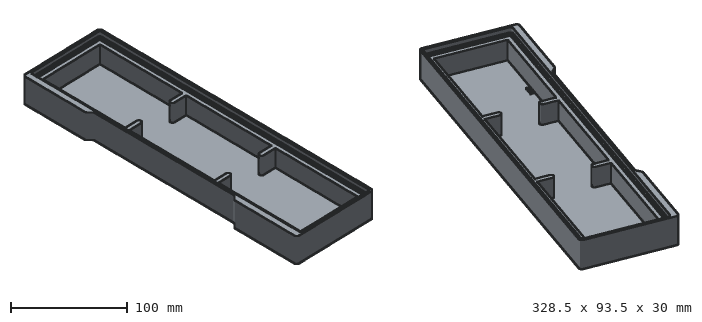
import cadquery as cq

length = 328.5
width = 93.5
height = 30.0
corner_radius = 2.5

recess_depth = 5.0
foot_length = 75.0
foot_edge_radius = 2.5
recess_edge_radius = 1.5

rim_thickness = 2.15
ledge_inset = 4.5
cavity_inset = 9.5
rim_corner_radius = 2.0
groove_depth = 5.3
step_height = 1.5
ledge_depth = groove_depth + step_height
floor_thickness = 2.0

rib_thickness = 5.0
rib_length = 16.8
rib_spacing = 107.0
rib_tip_radius = 2.3
rib_root_overlap = 1.5

slot_length = 10.0
slot_width = 3.0
slot_x = 104.0
slot_wall_gap = 1.0

half_length = length / 2
front_y = -width / 2
back_y = width / 2
recess_y = front_y + recess_depth
inner_center_y = (recess_y + back_y) / 2
inner_width = back_y - recess_y
cavity_width = inner_width - 2 * cavity_inset
cavity_height = height - ledge_depth - floor_thickness


def inset_rectangle(inset, z):
    """Rectangle set in from the ends, the back and the recessed front."""
    return (
        cq.Workplane("XY", origin=(0, inner_center_y, z))
        .rect(length - 2 * inset, inner_width - 2 * inset)
    )


def corner_pair(x, y):
    """Selector for the two upright edges at (-x, y) and (x, y)."""
    middle_z = height / 2
    left = cq.selectors.NearestToPointSelector((-x, y, middle_z))
    right = cq.selectors.NearestToPointSelector((x, y, middle_z))
    return left + right


def make_body():
    """Block whose front recess has 45 degree blended ends."""
    foot_end = half_length - foot_length
    recess_end = foot_end - recess_depth
    body = (
        cq.Workplane("XY")
        .polyline([
            (-half_length, front_y),
            (-foot_end, front_y),
            (-recess_end, recess_y),
            (recess_end, recess_y),
            (foot_end, front_y),
            (half_length, front_y),
            (half_length, back_y),
            (-half_length, back_y),
        ])
        .close()
        .extrude(height)
    )
    body = body.edges(corner_pair(foot_end, front_y)).fillet(foot_edge_radius)
    body = body.edges(corner_pair(recess_end, recess_y)).fillet(recess_edge_radius)
    return body.edges("|Z and (<X or >X)").fillet(corner_radius)


def make_rim_pocket():
    """Vertical lid pocket with a narrower step below it."""
    pocket = (
        inset_rectangle(rim_thickness, height - groove_depth)
        .extrude(groove_depth)
        .edges("|Z")
        .fillet(rim_corner_radius)
    )
    step = inset_rectangle(ledge_inset, height - ledge_depth).extrude(ledge_depth)
    return pocket.union(step)


def make_rib(x, side):
    """Rib reaching inward from the back (side = 1) or front (side = -1) wall."""
    rib_extent = rib_length + rib_root_overlap
    wall_y = inner_center_y + side * cavity_width / 2
    rib_center_y = wall_y + side * (rib_root_overlap - rib_extent / 2)
    tip_selector = "<Y" if side > 0 else ">Y"
    return (
        cq.Workplane("XY", origin=(x, rib_center_y, floor_thickness))
        .rect(rib_thickness, rib_extent)
        .extrude(cavity_height)
        .faces(tip_selector)
        .edges("|Z")
        .fillet(rib_tip_radius)
    )


def make_floor_slot():
    slot_y = inner_center_y - cavity_width / 2 + slot_wall_gap + slot_width / 2
    return (
        cq.Workplane("XY", origin=(slot_x, slot_y, 0))
        .rect(slot_length, slot_width)
        .extrude(floor_thickness)
    )


result = make_body().cut(make_rim_pocket())
result = result.cut(inset_rectangle(cavity_inset, floor_thickness).extrude(cavity_height))
for rib_x in (-rib_spacing / 2, rib_spacing / 2):
    for wall_side in (-1, 1):
        result = result.union(make_rib(rib_x, wall_side))
result = result.cut(make_floor_slot())